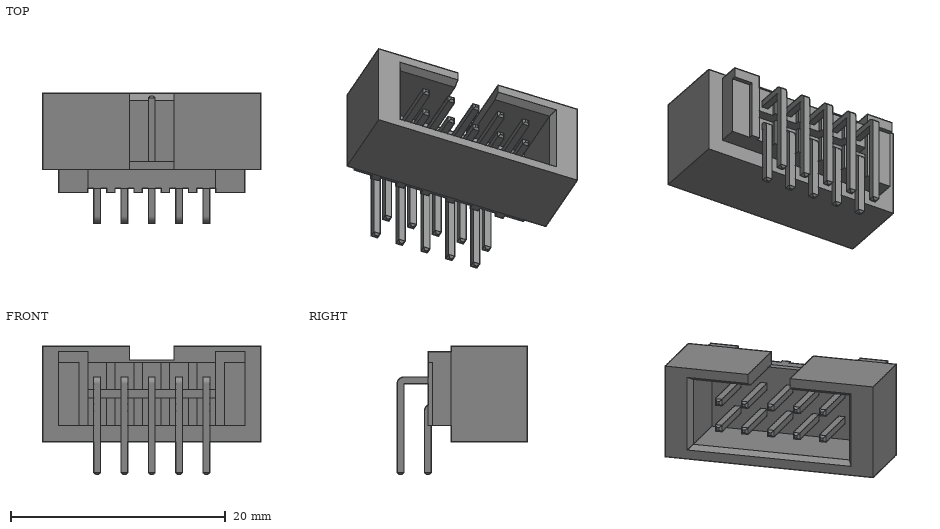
import cadquery as cq


PITCH = 2.54
PINS_PER_ROW = 5
PIN_SIZE = 0.65
PIN_TAPER = 0.2
PIN_TIP_RECESS = 0.25
TAIL_LENGTH = 3.05

HOUSING_WIDTH = 20.32
HOUSING_DEPTH = 7.1
HOUSING_HEIGHT = 8.89
END_WALL = 2.54
LONG_WALL = 1.27
REAR_WALL = 0.75
LEAD_IN_DEPTH = 0.69
LEAD_IN_WIDTH = 0.38
KEY_WIDTH = 4.1

BLOCK_WIDTH = 17.32
BLOCK_DEPTH = 1.75
BLOCK_BOTTOM = 1.5
BLOCK_TOP = HOUSING_HEIGHT - 1.52
POST_WIDTH = 2.72
POST_DEPTH = 2.15
POST_TOP = HOUSING_HEIGHT - 0.5
POST_RECESS_WIDTH = 1.9
POST_RECESS_DEPTH = 0.4
RIB_WIDTH = 0.8
GROOVE_TOP = HOUSING_HEIGHT - 4.04
GROOVE_HEIGHT = 0.76

OVERALL_DEPTH = 12.13
TAIL_REAR_Y = HOUSING_DEPTH - OVERALL_DEPTH
UPPER_ROW_Z = HOUSING_HEIGHT / 2 + PITCH / 2
LOWER_ROW_Z = UPPER_ROW_Z - PITCH


def span_box(x_range, y_range, z_range):
    """Box between pairs of X, Y and Z limits."""
    return cq.Workplane("XY").box(
        x_range[1] - x_range[0],
        y_range[1] - y_range[0],
        z_range[1] - z_range[0],
        centered=False,
    ).translate((x_range[0], y_range[0], z_range[0]))


def centred_positions(count):
    """X positions of `count` features at the pin pitch, centred on X = 0."""
    return [(i - (count - 1) / 2) * PITCH for i in range(count)]


def make_housing():
    """Rectangular shroud with a pocket, a flared mouth and a keying slot in the top wall."""
    half_width = HOUSING_WIDTH / 2
    shroud = span_box((-half_width, half_width), (0, HOUSING_DEPTH), (0, HOUSING_HEIGHT))

    pocket_width = HOUSING_WIDTH - 2 * END_WALL
    pocket_height = HOUSING_HEIGHT - 2 * LONG_WALL
    pocket = span_box(
        (-pocket_width / 2, pocket_width / 2),
        (REAR_WALL, HOUSING_DEPTH),
        (LONG_WALL, LONG_WALL + pocket_height),
    )
    lead_in = (
        cq.Workplane("XZ", origin=(0, HOUSING_DEPTH, HOUSING_HEIGHT / 2))
        .rect(pocket_width + 2 * LEAD_IN_WIDTH, pocket_height + 2 * LEAD_IN_WIDTH)
        .workplane(offset=LEAD_IN_DEPTH)
        .rect(pocket_width, pocket_height)
        .loft(ruled=True)
    )
    key_slot = span_box(
        (-KEY_WIDTH / 2, KEY_WIDTH / 2),
        (0, HOUSING_DEPTH),
        (HOUSING_HEIGHT - LONG_WALL, HOUSING_HEIGHT),
    )
    return shroud.cut(pocket).cut(lead_in).cut(key_slot)


def make_ribbed_block():
    """Block carrying the pins, with ribs between columns and a groove between the two rows."""
    half_width = BLOCK_WIDTH / 2
    height_range = (BLOCK_BOTTOM, BLOCK_TOP)
    block = span_box((-half_width, half_width), (-BLOCK_DEPTH, 0), height_range)
    for x in centred_positions(PINS_PER_ROW - 1):
        rib = span_box((x - RIB_WIDTH / 2, x + RIB_WIDTH / 2), (-POST_DEPTH, 0), height_range)
        block = block.union(rib)
    groove = span_box(
        (-half_width, half_width),
        (-POST_DEPTH, 0),
        (GROOVE_TOP - GROOVE_HEIGHT, GROOVE_TOP),
    )
    return block.cut(groove)


def make_right_post():
    """End post on the +X side, with its outer rear corner recessed below the cap."""
    outer_x = BLOCK_WIDTH / 2
    post = span_box((outer_x - POST_WIDTH, outer_x), (-POST_DEPTH, 0), (BLOCK_BOTTOM, POST_TOP))
    recess = span_box(
        (outer_x - POST_RECESS_WIDTH, outer_x),
        (-POST_DEPTH, POST_RECESS_DEPTH - POST_DEPTH),
        (BLOCK_BOTTOM, BLOCK_TOP),
    )
    return post.cut(recess)


def make_pin(x, row_z, rear_y):
    """Square pin bent down at right angles, round outside the bend and tapered at both ends."""
    front_y = HOUSING_DEPTH - PIN_TIP_RECESS
    top_z = row_z + PIN_SIZE / 2
    contact = span_box(
        (x - PIN_SIZE / 2, x + PIN_SIZE / 2),
        (rear_y, front_y),
        (top_z - PIN_SIZE, top_z),
    ).faces(">Y").chamfer(PIN_TAPER)
    tail = span_box(
        (x - PIN_SIZE / 2, x + PIN_SIZE / 2),
        (rear_y, rear_y + PIN_SIZE),
        (-TAIL_LENGTH, top_z),
    ).faces("<Z").chamfer(PIN_TAPER)
    bend_corner = (
        cq.Workplane("YZ", origin=(x - PIN_SIZE / 2, rear_y, top_z))
        .lineTo(PIN_SIZE, 0)
        .radiusArc((0, -PIN_SIZE), -PIN_SIZE)
        .close()
        .extrude(PIN_SIZE)
    )
    return contact.union(tail).cut(bend_corner)


right_post = make_right_post()
result = make_housing().union(make_ribbed_block())
result = result.union(right_post).union(right_post.mirror("YZ"))
for pin_x in centred_positions(PINS_PER_ROW):
    result = result.union(make_pin(pin_x, UPPER_ROW_Z, TAIL_REAR_Y))
    result = result.union(make_pin(pin_x, LOWER_ROW_Z, TAIL_REAR_Y + PITCH))